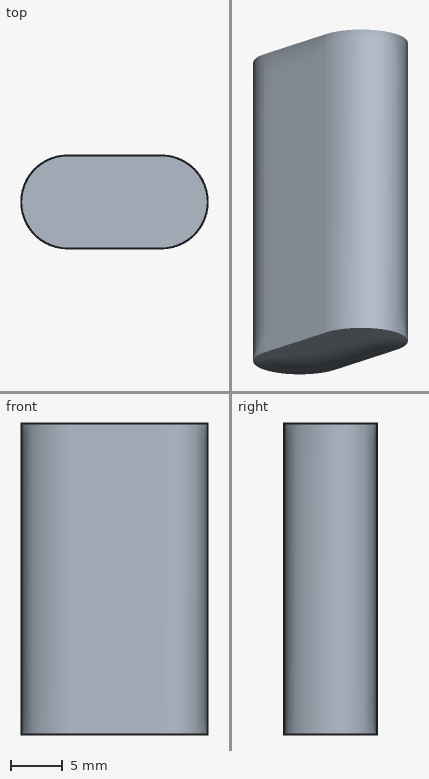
import cadquery as cq

width = 18.0
thickness = 9.0
height = 30.0

result = cq.Workplane("XY").slot2D(width, thickness).extrude(height)